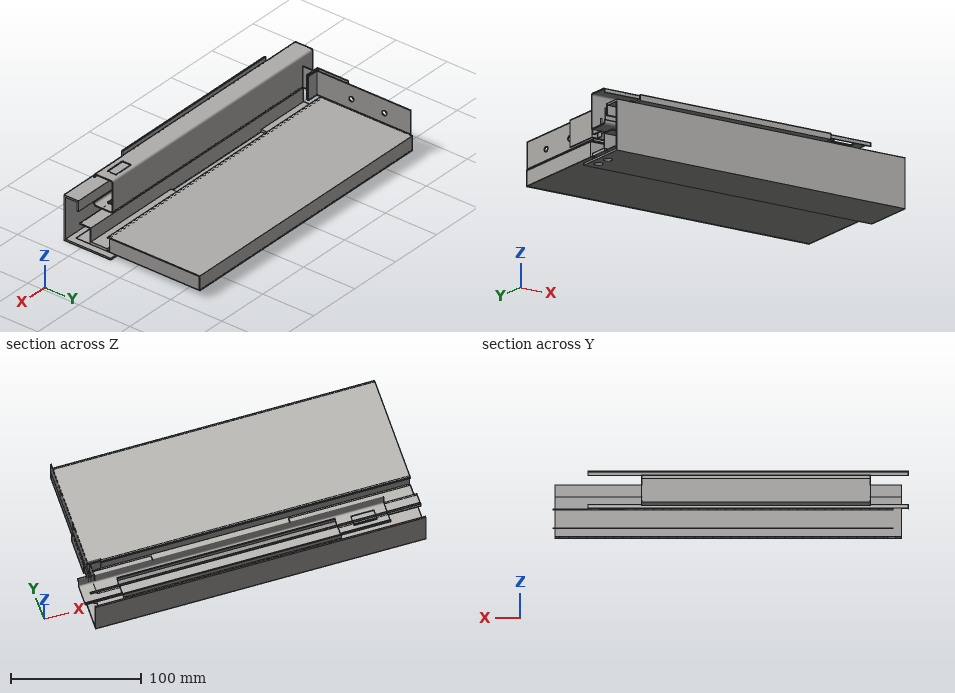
import cadquery as cq
import math

TOTAL_LENGTH = 271.5
TOTAL_WIDTH = 134.5
TOTAL_HEIGHT = 51.5
SHEET = 0.8
DRAWER_FRONT_X = 11.7
DRAWER_LENGTH = TOTAL_LENGTH - DRAWER_FRONT_X
WEB_Y = 27.7
RAIL_BOTTOM_Z = 22.5
BASE_Z = 7.5
BASE_SHEET = 0.3
SHELL_TOP_Z = 21.0
FRONT_TOP_Z = 42.5

FIXED_START_X = 5.2
FIXED_LENGTH = 265.0
FIXED_SHEET = 1.5
FIXED_FOOT_WIDTH = 46.0
FIXED_HEIGHT = 41.0
FIXED_HEAD_WIDTH = 14.5
FIXED_LIP_HEIGHT = 9.5
SCREW_HOLE_DIAMETER = 6.8
SCREW_HOLE_X = 12.8
SCREW_HOLE_YS = (24.0, 36.7)

MIDDLE_START_X = 29.0
MIDDLE_LENGTH = 174.8
MIDDLE_SHEET = 1.4
MIDDLE_WEB_Y = 21.0
MIDDLE_WEB_BOTTOM_Z = 28.0
MIDDLE_WEB_TOP_Z = 46.0
BEAD_Y = 16.8
BEAD_END_Y = 14.0
BEAD_BOTTOM_Z = 25.2
BEAD_TOP_Z = 48.3
LOWER_ARM_Z = 27.7
UPPER_ARM_Z = 46.2
LOWER_LIP_Y = 4.5
LOWER_LIP_TOP_Z = 36.0
UPPER_LIP_Y = 4.5
UPPER_LIP_TOP_Z = 49.7

RAIL_LENGTH = 245.0
RAIL_EDGE_Y = 9.0
RAIL_LIP_HEIGHT = 3.5
RAIL_WEB_RADIUS = 2.2
RAIL_LIP_RADIUS = 2.2
WINDOW_START_X = 217.2
WINDOW_LENGTH = 18.5
WINDOW_START_Y = 15.0
WINDOW_WIDTH = 8.5

FRAME_HEAD_EDGE_Y = 16.5
BASE_EDGE_Y = 13.0
FOOT_EDGE_Y = 43.5
FOOT_TOP_Z = 10.0
FRONT_FOOT_END_X = 63.5
REAR_FOOT_START_X = 173.8

BOARD_EDGE_Y = 46.0
SHELL_LIP = 0.8
SHELL_BEND_Y = 44.3

PLATE_FRONT_X = DRAWER_FRONT_X - SHEET
PLATE_EDGE_Y = 40.0
PLATE_WIDTH = 92.3
PLATE_FLANGE_LENGTH = 11.0
PLATE_HOLE_DIAMETER = 4.3
PLATE_HOLE_Z = 30.1
PLATE_HOLE_YS = (74.0, 106.5)

BRACKET_FRONT_X = 7.5
BRACKET_EDGE_Y = 38.0
BRACKET_WIDTH = 30.5
BRACKET_FLANGE_SHEET = 1.4
BRACKET_END_X = 21.2
ARM_FRONT_X = 12.5
ARM_NOTCH_Y = 32.5
TONGUE_THICKNESS = 1.5
TONGUE_BOTTOM_Z = 23.3
TONGUE_TOP_Z = 33.5


def block(x0, x1, y0, y1, z0, z1):
    """Axis-aligned block between two opposite corners."""
    return cq.Workplane("XY").box(x1 - x0, y1 - y0, z1 - z0, centered=False).translate((x0, y0, z0))


def left_normal(start, end):
    """Unit vector pointing to the left of the direction from start to end."""
    along_y, along_z = end[0] - start[0], end[1] - start[1]
    length = math.hypot(along_y, along_z)
    return -along_z / length, along_y / length


def mitred_offset(path, distance):
    """Copy of an open (Y, Z) path moved to its left, with mitred corners."""
    normals = [left_normal(a, b) for a, b in zip(path, path[1:])]
    before = [normals[0]] + normals
    after = normals + [normals[-1]]
    moved = []
    for (y, z), (ay, az), (by, bz) in zip(path, before, after):
        scale = distance / (1 + ay * by + az * bz)
        moved.append((y + scale * (ay + by), z + scale * (az + bz)))
    return moved


def folded_sheet(face_path, thickness, start_x, length):
    """Sheet section to the left of a (Y, Z) face path, drawn out along X."""
    outline = face_path + mitred_offset(face_path, thickness)[::-1]
    return cq.Workplane("YZ").workplane(offset=start_x).polyline(outline).close().extrude(length)


def round_bend(sheet, corner, thickness, radius, mid_x):
    """Round both edges of a right-angled bend.

    corner is the outer corner's Y and Z, then the Y and Z signs that lead to the inner corner.
    """
    corner_y, corner_z, into_y, into_z = corner
    inner_y = corner_y + into_y * thickness
    inner_z = corner_z + into_z * thickness
    sheet = sheet.edges(cq.selectors.NearestToPointSelector((mid_x, corner_y, corner_z))).fillet(radius)
    inner_edge = cq.selectors.NearestToPointSelector((mid_x, inner_y, inner_z))
    return sheet.edges(inner_edge).fillet(radius - thickness)


def make_fixed_rail():
    path = [
        (FIXED_HEAD_WIDTH, FIXED_HEIGHT - FIXED_LIP_HEIGHT),
        (FIXED_HEAD_WIDTH, FIXED_HEIGHT),
        (0, FIXED_HEIGHT),
        (0, 0),
        (FIXED_FOOT_WIDTH, 0),
    ]
    rail = folded_sheet(path, FIXED_SHEET, FIXED_START_X, FIXED_LENGTH)
    hole_centres = [(SCREW_HOLE_X, y) for y in SCREW_HOLE_YS]
    holes = cq.Workplane("XY").pushPoints(hole_centres).circle(SCREW_HOLE_DIAMETER / 2).extrude(FIXED_SHEET)
    return rail.cut(holes)


def make_middle_rail():
    path = [
        (LOWER_LIP_Y, LOWER_LIP_TOP_Z),
        (LOWER_LIP_Y, LOWER_ARM_Z),
        (BEAD_END_Y, LOWER_ARM_Z),
        (BEAD_Y, BEAD_BOTTOM_Z),
        (MIDDLE_WEB_Y, MIDDLE_WEB_BOTTOM_Z),
        (MIDDLE_WEB_Y, MIDDLE_WEB_TOP_Z),
        (BEAD_Y, BEAD_TOP_Z),
        (BEAD_END_Y, UPPER_ARM_Z),
        (UPPER_LIP_Y, UPPER_ARM_Z),
        (UPPER_LIP_Y, UPPER_LIP_TOP_Z),
    ]
    return folded_sheet(path, MIDDLE_SHEET, MIDDLE_START_X, MIDDLE_LENGTH)


def make_drawer_rail():
    path = [
        (RAIL_EDGE_Y, RAIL_BOTTOM_Z + RAIL_LIP_HEIGHT),
        (RAIL_EDGE_Y, RAIL_BOTTOM_Z),
        (WEB_Y, RAIL_BOTTOM_Z),
        (WEB_Y, TOTAL_HEIGHT),
        (RAIL_EDGE_Y, TOTAL_HEIGHT),
        (RAIL_EDGE_Y, TOTAL_HEIGHT - RAIL_LIP_HEIGHT),
    ]
    rail = folded_sheet(path, SHEET, 0, RAIL_LENGTH)
    for z, into_z in ((RAIL_BOTTOM_Z, 1), (TOTAL_HEIGHT, -1)):
        rail = round_bend(rail, (WEB_Y, z, -1, into_z), SHEET, RAIL_WEB_RADIUS, RAIL_LENGTH / 2)
        rail = round_bend(rail, (RAIL_EDGE_Y, z, 1, into_z), SHEET, RAIL_LIP_RADIUS, RAIL_LENGTH / 2)
    window = block(
        WINDOW_START_X, WINDOW_START_X + WINDOW_LENGTH,
        WINDOW_START_Y, WINDOW_START_Y + WINDOW_WIDTH,
        RAIL_BOTTOM_Z, TOTAL_HEIGHT,
    )
    return rail.cut(window)


def make_side_frame():
    path = [(WEB_Y, BASE_Z), (WEB_Y, RAIL_BOTTOM_Z), (FRAME_HEAD_EDGE_Y, RAIL_BOTTOM_Z)]
    frame = folded_sheet(path, SHEET, DRAWER_FRONT_X, DRAWER_LENGTH)
    base_top_z = BASE_Z + BASE_SHEET
    frame = frame.union(
        block(DRAWER_FRONT_X, TOTAL_LENGTH, BASE_EDGE_Y, TOTAL_WIDTH, BASE_Z, base_top_z)
    )
    foot_spans = ((DRAWER_FRONT_X, FRONT_FOOT_END_X), (REAR_FOOT_START_X, TOTAL_LENGTH))
    for foot_start, foot_end in foot_spans:
        frame = frame.union(
            block(foot_start, foot_end, WEB_Y - SHEET, FOOT_EDGE_Y, BASE_Z, FOOT_TOP_Z)
        )
    return frame


def make_board():
    return block(
        DRAWER_FRONT_X, TOTAL_LENGTH,
        BOARD_EDGE_Y, TOTAL_WIDTH - SHEET,
        BASE_Z + BASE_SHEET, SHELL_TOP_Z - SHEET,
    )


def make_shell():
    path = [
        (TOTAL_WIDTH, BASE_Z + BASE_SHEET),
        (TOTAL_WIDTH, SHELL_TOP_Z),
        (SHELL_BEND_Y, SHELL_TOP_Z),
        (SHELL_BEND_Y - SHELL_LIP, SHELL_TOP_Z - SHELL_LIP),
    ]
    return folded_sheet(path, SHEET, DRAWER_FRONT_X, DRAWER_LENGTH)


def make_front_plate():
    plate = block(
        PLATE_FRONT_X, PLATE_FRONT_X + SHEET,
        PLATE_EDGE_Y, PLATE_EDGE_Y + PLATE_WIDTH,
        SHELL_TOP_Z, FRONT_TOP_Z,
    )
    flange = block(
        PLATE_FRONT_X, PLATE_FRONT_X + PLATE_FLANGE_LENGTH,
        PLATE_EDGE_Y, PLATE_EDGE_Y + SHEET,
        SHELL_TOP_Z, FRONT_TOP_Z,
    )
    hole_centres = [(y, PLATE_HOLE_Z) for y in PLATE_HOLE_YS]
    holes = (
        cq.Workplane("YZ").workplane(offset=PLATE_FRONT_X)
        .pushPoints(hole_centres).circle(PLATE_HOLE_DIAMETER / 2).extrude(SHEET)
    )
    return plate.union(flange).cut(holes)


def make_corner_bracket():
    face = block(
        BRACKET_FRONT_X, BRACKET_FRONT_X + SHEET,
        BRACKET_EDGE_Y, BRACKET_EDGE_Y + BRACKET_WIDTH,
        SHELL_TOP_Z, FRONT_TOP_Z,
    )
    flange = block(
        BRACKET_FRONT_X, BRACKET_END_X,
        BRACKET_EDGE_Y, BRACKET_EDGE_Y + BRACKET_FLANGE_SHEET,
        SHELL_TOP_Z, FRONT_TOP_Z,
    )
    arm = block(
        ARM_FRONT_X, ARM_FRONT_X + SHEET,
        WEB_Y, BRACKET_EDGE_Y,
        SHELL_TOP_Z, FRONT_TOP_Z,
    )
    notch = block(
        ARM_FRONT_X, ARM_FRONT_X + SHEET,
        WEB_Y, ARM_NOTCH_Y,
        SHELL_TOP_Z, TONGUE_BOTTOM_Z,
    )
    tongue_front_x = BRACKET_FRONT_X + SHEET
    tongue = block(
        tongue_front_x, tongue_front_x + TONGUE_THICKNESS,
        WEB_Y, BRACKET_EDGE_Y,
        TONGUE_BOTTOM_Z, TONGUE_TOP_Z,
    )
    return face.union(flange).union(arm.cut(notch)).union(tongue)


fixed_rail = make_fixed_rail()
middle_rail = make_middle_rail()
drawer_rail = make_drawer_rail()
side_frame = make_side_frame()
board = make_board()
shell = make_shell()
front_plate = make_front_plate()
corner_bracket = make_corner_bracket()

result = cq.Compound.makeCompound([
    fixed_rail.val(),
    middle_rail.val(),
    drawer_rail.val(),
    side_frame.val(),
    board.val(),
    shell.val(),
    front_plate.val(),
    corner_bracket.val(),
])